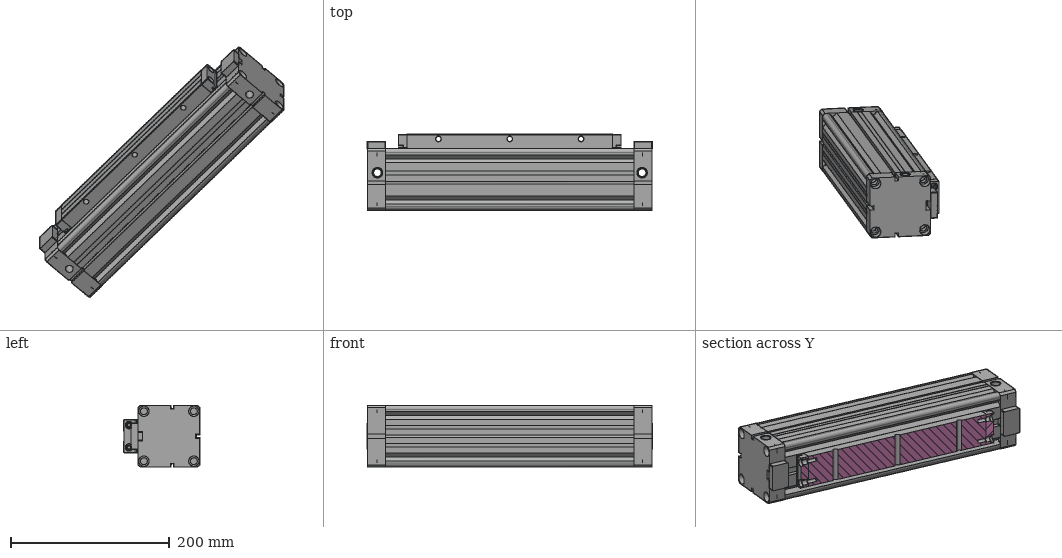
import cadquery as cq


section = 78.0
half = section / 2
barrel_length = 313.0
cap_length = 23.0
cap_inner_x = barrel_length / 2
cap_outer_x = cap_inner_x + cap_length

barrel_corner_radius = 5.0
vee_offset = 26.0
vee_depth = 5.0
sensor_slot_width = 3.2
sensor_slot_depth = 4.5
sensor_slot_y = -4.5
strip_depth = 0.3
front_strip_width = 4.3
front_strip_z = 11.35
side_strip_width = 5.4
side_strip_y = 7.9
yoke_slot_width = 10.0
yoke_slot_depth = 6.0

cap_chamfer = 3.0
bolt_offset = 31.5
bolt_hole_diameter = 8.7
bolt_head_diameter = 13.0
bolt_head_depth = 12.0
front_notch_width = 5.4
front_notch_depth = 5.5
side_notch_width = 4.4
side_notch_depth = 4.9
band_slot_width = 12.0
port_x = 167.0
port_y = 8.4
port_through_diameter = 9.7
port_thread_diameter = 11.6
port_thread_depth = 15.0
port_rim_diameter = 13.2

clip_overhang = 0.5
clip_length = cap_length + clip_overhang
clip_width = 34.0
clip_height = 8.5
clip_chamfer = 1.0

carriage_top_y = 57.0
carriage_width = 42.0
carriage_length = 259.0
carriage_edge_chamfer = 0.8
top_recess_width = 13.0
top_recess_depth = 0.3
mount_hole_diameter = 6.6
mount_hole_pitch = 90.0
mount_hole_y = 51.0
plate_thickness = 11.0
plate_top_y = carriage_top_y - top_recess_depth
plate_bottom_y = 40.0
plate_slot_bottom_y = 41.0
plate_slot_top_y = 43.0
plate_slot_length = 6.0
screw_y = 50.3
screw_z = 14.1
screw_head_diameter = 9.4
screw_head_depth = 4.0
screw_clearance_diameter = 6.4
screw_thread_diameter = 4.0
screw_thread_depth = 12.0


def box(x_range, y_range, z_range):
    """Box between the given limits on each axis."""
    sizes = [high - low for low, high in (x_range, y_range, z_range)]
    corner = (x_range[0], y_range[0], z_range[0])
    return cq.Workplane("XY").box(*sizes, centered=False).translate(corner)


def rod(diameter, x_range, y, z):
    """Cylinder along X."""
    length = x_range[1] - x_range[0]
    plane = cq.Workplane("YZ", origin=(x_range[0], y, z))
    return plane.circle(diameter / 2).extrude(length)


def mirrored(body):
    """The same body at the opposite end of the cylinder."""
    return body.mirror("YZ")


def barrel_groove(outline):
    """Full-length cutter from an outline drawn with Y and Z as its axes."""
    return outline.close().extrude(barrel_length)


def barrel_plane():
    return cq.Workplane("YZ", origin=(-barrel_length / 2, 0, 0))


def vee_groove(offset):
    """Vee in the -Y face, centred at height offset."""
    outline = (
        barrel_plane()
        .moveTo(-half, offset - vee_depth)
        .lineTo(-half + vee_depth, offset)
        .lineTo(-half, offset + vee_depth)
    )
    return barrel_groove(outline)


def sensor_slot(offset):
    """Round-bottomed slot in the -Y face, centred at height offset."""
    radius = sensor_slot_width / 2
    bottom = -half + sensor_slot_depth
    outline = (
        barrel_plane()
        .moveTo(-half, offset - radius)
        .lineTo(bottom - radius, offset - radius)
        .threePointArc((bottom, offset), (bottom - radius, offset + radius))
        .lineTo(-half, offset + radius)
    )
    return barrel_groove(outline)


def shallow_strip(offset, width):
    """Shallow flat strip in the -Y face, centred at height offset."""
    return box(
        (-barrel_length / 2, barrel_length / 2),
        (-half, -half + strip_depth),
        (offset - width / 2, offset + width / 2),
    )


def onto_top(cutter):
    """Turn a -Y face cutter onto the +Z face; its Z offset becomes its Y offset."""
    return cutter.rotate((0, 0, 0), (1, 0, 0), -90)


def make_barrel():
    barrel = cq.Workplane("XY").box(barrel_length, section, section)
    barrel = barrel.edges("|X").fillet(barrel_corner_radius)

    for turn in range(4):
        for offset in (-vee_offset, vee_offset):
            barrel = barrel.cut(vee_groove(offset).rotate((0, 0, 0), (1, 0, 0), 90 * turn))

    barrel = barrel.cut(sensor_slot(0))
    for offset in (-front_strip_z, front_strip_z):
        barrel = barrel.cut(shallow_strip(offset, front_strip_width))

    top_slot = onto_top(sensor_slot(sensor_slot_y))
    top_strip = onto_top(shallow_strip(side_strip_y, side_strip_width))
    for cutter in (top_slot, top_strip):
        barrel = barrel.cut(cutter).cut(cutter.mirror("XY"))

    yoke_slot = box(
        (-barrel_length / 2, barrel_length / 2),
        (half - yoke_slot_depth, half),
        (-yoke_slot_width / 2, yoke_slot_width / 2),
    )
    return barrel.cut(yoke_slot)


def make_cap():
    cap_x = (-cap_outer_x, -cap_inner_x)
    cap = box(cap_x, (-half, half), (-half, half)).edges("|X").chamfer(cap_chamfer)

    front_notch = box(
        cap_x,
        (-half, -half + front_notch_depth),
        (-front_notch_width / 2, front_notch_width / 2),
    )
    side_notch = box(
        cap_x,
        (sensor_slot_y - side_notch_width / 2, sensor_slot_y + side_notch_width / 2),
        (half - side_notch_depth, half),
    )
    band_slot = box(
        cap_x,
        (half - yoke_slot_depth, half),
        (-band_slot_width / 2, band_slot_width / 2),
    )
    cap = cap.cut(front_notch).cut(side_notch).cut(side_notch.mirror("XY")).cut(band_slot)

    cap = (
        cap.faces("<X").workplane(origin=(-cap_outer_x, 0, 0))
        .rect(2 * bolt_offset, 2 * bolt_offset, forConstruction=True)
        .vertices()
        .cboreHole(bolt_hole_diameter, bolt_head_diameter, bolt_head_depth)
    )

    port = cq.Workplane("XY", origin=(-port_x, port_y, half))
    through = port.circle(port_through_diameter / 2).extrude(-section)
    thread = port.circle(port_thread_diameter / 2).extrude(-port_thread_depth)
    rim_depth = (port_rim_diameter - port_thread_diameter) / 2
    rim = port.circle(port_rim_diameter / 2).extrude(-rim_depth, taper=45)
    return cap.cut(through).cut(thread).cut(rim)


def make_clip():
    outer_x = cap_outer_x + clip_overhang
    clip = box(
        (-outer_x, -outer_x + clip_length),
        (half, half + clip_height),
        (-clip_width / 2, clip_width / 2),
    )
    return clip.edges("|Y").chamfer(clip_chamfer)


def carriage_block(x_range, y_range):
    """Full-width stretch of carriage with chamfered top edges."""
    block = box(x_range, y_range, (-carriage_width / 2, carriage_width / 2))
    return block.faces(">Y").edges("|X").chamfer(carriage_edge_chamfer)


def make_carriage():
    end_x = carriage_length / 2
    carriage = carriage_block((-end_x, end_x), (half, carriage_top_y))
    top_recess = box(
        (-end_x, end_x),
        (carriage_top_y - top_recess_depth, carriage_top_y),
        (-top_recess_width / 2, top_recess_width / 2),
    )
    keel = box(
        (-end_x, end_x),
        (half - yoke_slot_depth, half),
        (-yoke_slot_width / 2, yoke_slot_width / 2),
    )
    carriage = carriage.cut(top_recess).union(keel)

    for x in (-mount_hole_pitch, 0, mount_hole_pitch):
        hole = cq.Workplane("XY", origin=(x, mount_hole_y, 0)).circle(mount_hole_diameter / 2)
        carriage = carriage.cut(hole.extrude(carriage_width / 2, both=True))

    for z in (-screw_z, screw_z):
        thread = rod(screw_thread_diameter, (-end_x, -end_x + screw_thread_depth), screw_y, z)
        carriage = carriage.cut(thread).cut(mirrored(thread))
    return carriage


def make_end_plate():
    inner_x = -carriage_length / 2
    outer_x = inner_x - plate_thickness
    plate = carriage_block((outer_x, inner_x), (plate_bottom_y, plate_top_y))

    wiper_slot = box(
        (outer_x, outer_x + plate_slot_length),
        (plate_slot_bottom_y, plate_slot_top_y),
        (-carriage_width / 2, carriage_width / 2),
    )
    plate = plate.cut(wiper_slot)

    for z in (-screw_z, screw_z):
        head = rod(screw_head_diameter, (outer_x, outer_x + screw_head_depth), screw_y, z)
        clearance = rod(screw_clearance_diameter, (outer_x, inner_x), screw_y, z)
        plate = plate.cut(head).cut(clearance)
    return plate


barrel = make_barrel()
carriage = make_carriage()
solids = [barrel.val(), carriage.val()]
for end_body in (make_cap(), make_clip(), make_end_plate()):
    solids += [end_body.val(), mirrored(end_body).val()]

result = cq.Compound.makeCompound(solids)